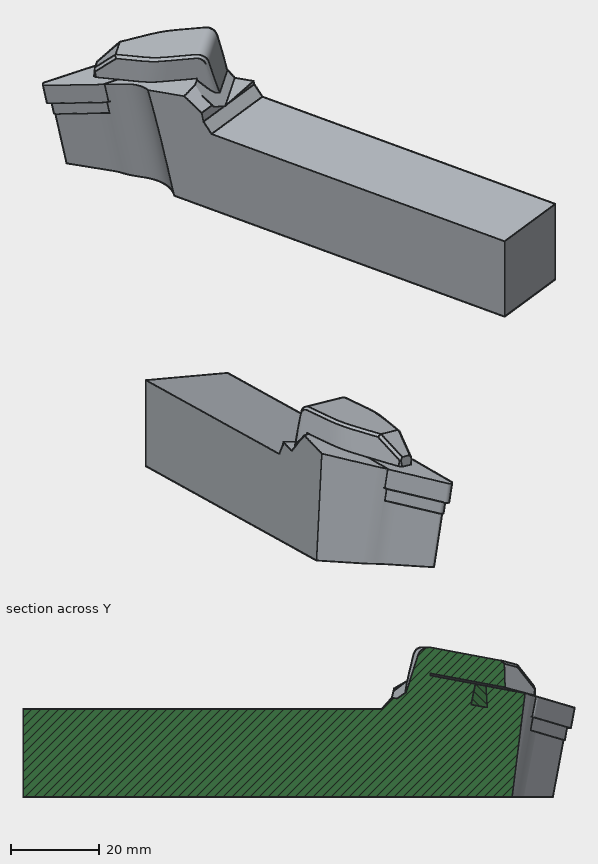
import cadquery as cq
import math

LENGTH = 125.0
SHANK = 20.0
HALF_SHANK = SHANK / 2
OVERSIZE = 75.0

SLOPE_X = math.tan(math.radians(10.6))
SLOPE_Y = math.tan(math.radians(4.6))
TIP = (-1.4, -15.8, 19.9)
FRONT_ANGLE = 17.4
TIP_ANGLE = 35.0
BACK_ANGLE = FRONT_ANGLE + TIP_ANGLE

INSERT_EDGE = 16.6
INSERT_THICKNESS = 4.8
INSERT_RADIUS = 0.82
SHIM_THICKNESS = 3.0
SHIM_INSET = 0.31

WALL_INSET = 0.6
WALL_RADIUS = 0.5
BLEND_HALF = 2.6
FLANK_END = 21.9
FLANK_RADIUS = 9.0
FLANK_END_ANGLE = 10.0

REAR_SLOPE_START = (36.1, 27.4)
REAR_WALL_TOP = (41.0, 24.6)
REAR_WALL_FOOT = (41.5, 22.5)
REAR_CHAMFER_END = LENGTH - 81.2
SIDE_CUT_START = 21.2

CLAMP_NOSE = (11.4, 8.4)
CLAMP_ANGLE = 25.0
CLAMP_LENGTH = 29.1
CLAMP_HEIGHT = 6.2
CLAMP_HALF_WIDTH = 6.8
NOSE_HALF_WIDTH = 2.1
NOSE_HEIGHT = 2.5
NOSE_SLOPE_END = 6.5
TAPER_END = (11.5, 5.9)
SIDES_START = 17.4
CLAMP_CHAMFER = 0.6
CLAMP_REAR_RADIUS = 2.5
CLAMP_CORNER_RADIUS = 2.5
CLAMP_REAR_LEAN = 0.9
REAR_MARGIN = 0.2
SIDE_SET_BACK = 1.9
CLAMP_GAP = 0.4
NOSE_LEAN = 0.6

RAMP_START = 25.0
RAMP_RUN = 5.6
SEAT_DEPTH = 6.5
SEAT_WALL_POINT = (REAR_WALL_TOP[0], -5.9, REAR_WALL_TOP[1])
SEAT_WALL_NORMAL = (0.36, 0.67, 0.65)

TOP_FACE = cq.Plane(origin=TIP, xDir=(1, 0, SLOPE_X), normal=(-SLOPE_X, -SLOPE_Y, 1))
CLAMP_FRAME = cq.Plane(
    origin=TOP_FACE.toWorldCoords(CLAMP_NOSE), xDir=TOP_FACE.xDir, normal=TOP_FACE.zDir
).rotated((0, 0, CLAMP_ANGLE))
CLAMP_SECTION = cq.Plane(
    origin=CLAMP_FRAME.origin, xDir=CLAMP_FRAME.xDir, normal=-CLAMP_FRAME.yDir
)


def front_point(distance, inset=0.0):
    """Point beside the front cutting edge, a distance from the tip and set in from the edge."""
    a = math.radians(FRONT_ANGLE)
    return (
        distance * math.cos(a) - inset * math.sin(a),
        distance * math.sin(a) + inset * math.cos(a),
    )


def back_point(distance, inset=0.0):
    """Point beside the back cutting edge, a distance from the tip and set in from the edge."""
    a = math.radians(BACK_ANGLE)
    return (
        distance * math.cos(a) + inset * math.sin(a),
        distance * math.sin(a) - inset * math.cos(a),
    )


def inset_tip(inset):
    """Sharp tip of the wedge whose two sides are set in from the cutting edges."""
    return front_point(inset / math.tan(math.radians(TIP_ANGLE / 2)), inset)


def rhombic_plate(depth, thickness, inset=0.0):
    """Rounded rhombic plate whose top lies at a depth below the top face."""
    tip = inset_tip(inset)
    front = front_point(INSERT_EDGE, inset)
    back = back_point(INSERT_EDGE, inset)
    rear = (front[0] + back[0] - tip[0], front[1] + back[1] - tip[1])
    return (
        cq.Workplane(TOP_FACE)
        .workplane(offset=-depth)
        .polyline([tip, front, rear, back])
        .close()
        .extrude(-thickness)
        .edges(cq.selectors.ParallelDirSelector(TOP_FACE.zDir))
        .fillet(INSERT_RADIUS)
    )


def head_walls():
    """Prism square to the top face that bounds the side walls of the head."""
    blend_start = INSERT_EDGE - BLEND_HALF
    blend_end = INSERT_EDGE + BLEND_HALF
    flank_start = front_point(FLANK_END)
    a = math.radians(FRONT_ANGLE)
    centre = (
        flank_start[0] + FLANK_RADIUS * math.sin(a),
        flank_start[1] - FLANK_RADIUS * math.cos(a),
    )
    end = math.radians(FLANK_END_ANGLE)
    flank_end = (
        centre[0] + FLANK_RADIUS * math.cos(end),
        centre[1] + FLANK_RADIUS * math.sin(end),
    )
    far_x = LENGTH + OVERSIZE
    back_end = back_point(OVERSIZE)
    walls = (
        cq.Workplane(TOP_FACE)
        .moveTo(*inset_tip(WALL_INSET))
        .lineTo(*front_point(blend_start, WALL_INSET))
        .tangentArcPoint(front_point(INSERT_EDGE, WALL_INSET / 2), relative=False)
        .tangentArcPoint(front_point(blend_end), relative=False)
        .lineTo(*flank_start)
        .tangentArcPoint(flank_end, relative=False)
        .lineTo(far_x, flank_end[1])
        .lineTo(far_x, back_end[1])
        .lineTo(*back_end)
        .lineTo(*back_point(blend_end))
        .tangentArcPoint(back_point(INSERT_EDGE, WALL_INSET / 2), relative=False)
        .tangentArcPoint(back_point(blend_start, WALL_INSET), relative=False)
        .close()
        .extrude(-OVERSIZE)
    )
    tip_edge = cq.selectors.NearestToPointSelector(
        (TOP_FACE.toWorldCoords(inset_tip(WALL_INSET)) - TOP_FACE.zDir * (OVERSIZE / 2)).toTuple()
    )
    return walls.edges(tip_edge).fillet(WALL_RADIUS)


def blank():
    """Shank and head as one lengthwise outline, still with plain sides."""
    slope = (REAR_SLOPE_START[1] - REAR_WALL_TOP[1]) / (REAR_WALL_TOP[0] - REAR_SLOPE_START[0])
    crest = REAR_WALL_TOP[1] + slope * REAR_WALL_TOP[0]
    return (
        cq.Workplane("XZ", origin=(0, HALF_SHANK, 0))
        .polyline([
            (0, 0), (LENGTH, 0), (LENGTH, SHANK), (REAR_CHAMFER_END, SHANK),
            REAR_WALL_FOOT, REAR_WALL_TOP, (0, crest),
        ])
        .close()
        .extrude(OVERSIZE)
    )


def side_cut():
    """Block that makes the -Y side flush with the shank behind the tip."""
    return cq.Workplane("XY").box(LENGTH, OVERSIZE, OVERSIZE, centered=False).translate(
        (SIDE_CUT_START, -HALF_SHANK - OVERSIZE, 0)
    )


def clamp_seat():
    """Ramp and floor behind the clamp, closed on the -Y side by a sloping wall."""
    ramp = (
        cq.Workplane(CLAMP_SECTION)
        .polyline([
            (RAMP_START, 0), (RAMP_START + RAMP_RUN, -SEAT_DEPTH),
            (OVERSIZE, -SEAT_DEPTH), (OVERSIZE, SEAT_DEPTH), (RAMP_START, SEAT_DEPTH),
        ])
        .close()
        .extrude(OVERSIZE, both=True)
    )
    above_wall = cq.Workplane(
        cq.Plane(origin=SEAT_WALL_POINT, normal=SEAT_WALL_NORMAL)
    ).rect(2 * OVERSIZE, 2 * OVERSIZE).extrude(OVERSIZE)
    return ramp.intersect(above_wall)


def clamp_outline(base, set_back):
    """Clamp outline drawn on a base; a set back shifts the tapered front sides to the rear."""
    taper = (TAPER_END[1] - NOSE_HALF_WIDTH) / TAPER_END[0]
    side_y = NOSE_HALF_WIDTH - set_back * taper
    nose_y = side_y - CLAMP_CHAMFER
    taper_x = TAPER_END[0] + set_back
    sides_x = SIDES_START + set_back
    rear = CLAMP_LENGTH + REAR_MARGIN
    rear_x = rear - CLAMP_CORNER_RADIUS
    rear_y = CLAMP_HALF_WIDTH - CLAMP_CORNER_RADIUS
    return (
        base.moveTo(0, -nose_y)
        .lineTo(CLAMP_CHAMFER, -side_y)
        .lineTo(taper_x, -TAPER_END[1])
        .tangentArcPoint((sides_x, -CLAMP_HALF_WIDTH), relative=False)
        .lineTo(rear_x, -CLAMP_HALF_WIDTH)
        .tangentArcPoint((rear, -rear_y), relative=False)
        .lineTo(rear, rear_y)
        .tangentArcPoint((rear_x, CLAMP_HALF_WIDTH), relative=False)
        .lineTo(sides_x, CLAMP_HALF_WIDTH)
        .tangentArcPoint((taper_x, TAPER_END[1]), relative=False)
        .lineTo(CLAMP_CHAMFER, side_y)
        .lineTo(0, nose_y)
        .close()
    )


def clamp_shape():
    """Clamp lying along X above Z = 0, with its rear leg reaching down to the ramp."""
    leg_depth = (CLAMP_LENGTH - RAMP_START) * SEAT_DEPTH / RAMP_RUN
    section = (
        cq.Workplane("XZ")
        .polyline([
            (0, CLAMP_GAP), (NOSE_LEAN, NOSE_HEIGHT), (NOSE_SLOPE_END, CLAMP_HEIGHT),
            (CLAMP_LENGTH - CLAMP_REAR_LEAN, CLAMP_HEIGHT), (CLAMP_LENGTH, -leg_depth),
            (RAMP_START, 0), (RAMP_START, CLAMP_GAP),
        ])
        .close()
        .extrude(CLAMP_LENGTH, both=True)
        .faces(">Z")
        .edges(">X")
        .fillet(CLAMP_REAR_RADIUS)
    )
    leg = clamp_outline(cq.Workplane("XY"), 0).extrude(-SEAT_DEPTH)
    underside = clamp_outline(cq.Workplane("XY"), 0)
    top = clamp_outline(underside.workplane(offset=CLAMP_HEIGHT), SIDE_SET_BACK)
    body = top.loft(ruled=True).union(leg).intersect(section)
    nose_slope = cq.selectors.NearestToPointSelector(
        (NOSE_SLOPE_END / 2, 0, (NOSE_HEIGHT + CLAMP_HEIGHT) / 2)
    )
    top_sides = body.faces("+Z").edges("not |Y")
    slope_sides = body.faces(nose_slope).edges("not |Y")
    return top_sides.add(slope_sides).chamfer(CLAMP_CHAMFER)


def clamp():
    """Clamp moved to its place on the head."""
    return cq.Workplane(clamp_shape().val().moved(cq.Location(CLAMP_FRAME)))


def holder(insert):
    """Holder with its shim and clamp, recessed for the insert."""
    shim = rhombic_plate(INSERT_THICKNESS, SHIM_THICKNESS, SHIM_INSET)
    body = blank().intersect(head_walls()).cut(side_cut()).cut(clamp_seat())
    return body.cut(insert).union(shim).union(clamp())


insert = rhombic_plate(0, INSERT_THICKNESS)
tool_holder = holder(insert)
result = cq.Compound.makeCompound([tool_holder.val(), insert.val()])